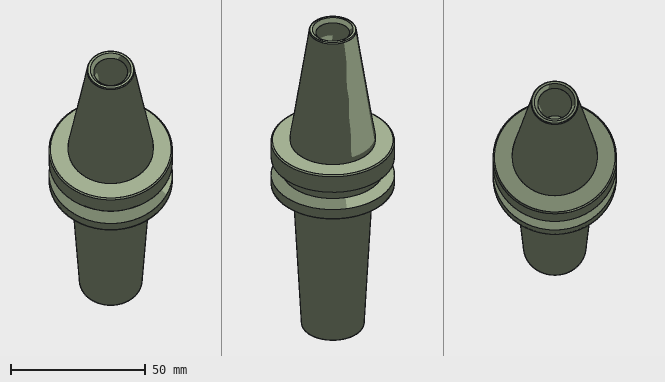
import cadquery as cq
import math

total_length = 133.4

taper_length = 48.4
gauge_radius = 15.9
taper_ratio = 7 / 24
taper_tip_radius = gauge_radius - taper_length * taper_ratio / 2
tip_chamfer_width = 0.3
tip_chamfer_height = 0.5

flange_diameter = 46.0
flange_radius = flange_diameter / 2
flange_height = 20.1
flange_chamfer = 0.5
collar_height = 2.0
upper_rim_height = 7.6
groove_radius = 19.1
groove_width = 3.3
groove_flank_angle = 30.0
groove_flank_height = (flange_radius - groove_radius) * math.tan(math.radians(groove_flank_angle))

shank_tip_radius = 11.7
shank_top_radius = 14.8
shank_fillet_width = 1.7
shank_fillet_height = 2.7

mouth_radius = 7.6
counterbore_radius = 6.3
mouth_depth = 1.5
counterbore_depth = 7.2
thread_radius = 5.1
step_cone_height = 4.0
thread_depth = 24.0
drill_point_angle = 118.0

gauge_z = total_length - taper_length
flange_top = gauge_z - collar_height
flange_bottom = flange_top - flange_height
upper_rim_bottom = flange_top - upper_rim_height
groove_top = upper_rim_bottom - groove_flank_height
groove_bottom = groove_top - groove_width
lower_rim_top = groove_bottom - groove_flank_height
shank_top = flange_bottom - shank_fillet_height


def make_body():
    """Revolve the outer half-profile of shank, flange and taper."""
    bulge = 1 - math.sqrt(0.5)
    fillet_middle = (
        shank_top_radius + shank_fillet_width * bulge,
        flange_bottom - shank_fillet_height * bulge,
    )
    return (
        cq.Workplane("XZ")
        .lineTo(shank_tip_radius, 0)
        .lineTo(shank_top_radius, shank_top)
        .threePointArc(fillet_middle, (shank_top_radius + shank_fillet_width, flange_bottom))
        .lineTo(flange_radius - flange_chamfer, flange_bottom)
        .lineTo(flange_radius, flange_bottom + flange_chamfer)
        .lineTo(flange_radius, lower_rim_top)
        .lineTo(groove_radius, groove_bottom)
        .lineTo(groove_radius, groove_top)
        .lineTo(flange_radius, upper_rim_bottom)
        .lineTo(flange_radius, flange_top - flange_chamfer)
        .lineTo(flange_radius - flange_chamfer, flange_top)
        .lineTo(gauge_radius, flange_top)
        .lineTo(gauge_radius, gauge_z)
        .lineTo(taper_tip_radius, total_length - tip_chamfer_height)
        .lineTo(taper_tip_radius - tip_chamfer_width, total_length)
        .lineTo(0, total_length)
        .close()
        .revolve(360, (0, 0, 0), (0, 1, 0))
    )


def make_bore():
    """Revolve the stepped bore with its flared mouth and drill point."""
    point_height = thread_radius / math.tan(math.radians(drill_point_angle / 2))
    thread_bottom = total_length - thread_depth
    step_z = total_length - counterbore_depth
    return (
        cq.Workplane("XZ")
        .moveTo(0, total_length)
        .lineTo(mouth_radius, total_length)
        .lineTo(counterbore_radius, total_length - mouth_depth)
        .lineTo(counterbore_radius, step_z)
        .lineTo(thread_radius, step_z - step_cone_height)
        .lineTo(thread_radius, thread_bottom)
        .lineTo(0, thread_bottom - point_height)
        .close()
        .revolve(360, (0, 0, 0), (0, 1, 0))
    )


result = make_body().cut(make_bore())